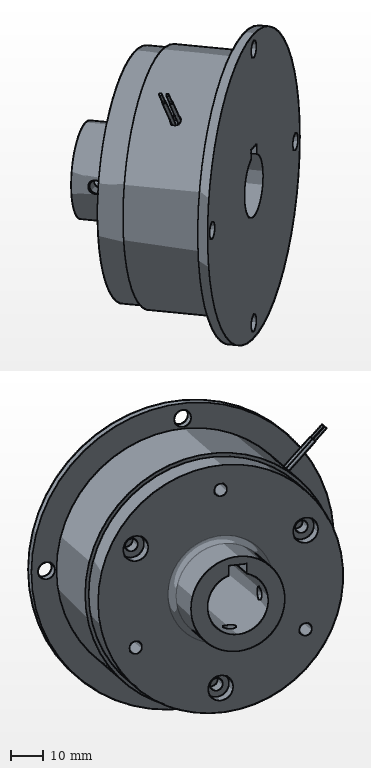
import cadquery as cq
import math

fillet_start_x = 14.1
hub_fillet_radius = 2.0
disc_face_x = fillet_start_x + hub_fillet_radius
disc_thickness = 3.9
body_face_x = 24.8
overall_length = 54.8
flange_thickness = 3.2
flange_face_x = overall_length - flange_thickness

hub_radius = 15.5
disc_radius = 40.5
body_radius = 41.7
flange_radius = 50.0
bore_radius = 10.0

key_width = 6.0
key_top_z = 12.8

flange_hole_count = 4
flange_hole_diameter = 5.5
flange_hole_circle_radius = 45.0

disc_hole_count = 6
disc_hole_diameter = 4.1
disc_hole_circle_radius = 32.4
counterbore_diameter = 8.2
counterbore_depth = disc_thickness
disc_hole_depth = body_face_x - disc_face_x

set_screw_x = 8.0
set_screw_diameter = 4.2
set_screw_mouth_diameter = 4.8
set_screw_mouth_depth = 0.5

lead_angle = 45.0
lead_x = (body_face_x + flange_face_x) / 2
lead_spacing = 2.3
lead_hole_diameter = 3.5
lead_hole_floor_radius = 38.7
lead_embedding = 1.0
sleeve_diameter = 1.2
sleeve_end_radius = 54.1
core_diameter = 0.9
core_end_radius = 59.4


def disc_along_x(start_x, end_x, radius):
    """Cylinder around the X axis between two stations."""
    return cq.Workplane("YZ").workplane(offset=start_x).circle(radius).extrude(end_x - start_x)


def holes_along_x(start_x, depth, diameter, circle_radius, count, start_angle):
    """Ring of equally spaced holes parallel to X."""
    return (
        cq.Workplane("YZ")
        .workplane(offset=start_x)
        .polarArray(circle_radius, start_angle, 360, count)
        .circle(diameter / 2)
        .extrude(depth)
    )


def radial_direction(angle):
    """Unit vector outward from the X axis, the angle measured from -Y toward +Z."""
    return cq.Vector(0, -math.cos(math.radians(angle)), math.sin(math.radians(angle)))


def radial_rod(x, angle, start_radius, end_radius, diameter):
    """Cylinder pointing outward from the X axis."""
    outward = radial_direction(angle)
    start = cq.Vector(x, 0, 0) + outward * start_radius
    rod = cq.Solid.makeCylinder(diameter / 2, end_radius - start_radius, start, outward)
    return cq.Workplane(obj=rod)


def turned_blank():
    """Hub, disc, body and flange as one revolved profile with a fillet at the hub root."""
    fillet_end_radius = hub_radius + hub_fillet_radius
    return (
        cq.Workplane("XY")
        .moveTo(0, 0)
        .lineTo(0, hub_radius)
        .lineTo(fillet_start_x, hub_radius)
        .radiusArc((disc_face_x, fillet_end_radius), -hub_fillet_radius)
        .lineTo(disc_face_x, disc_radius)
        .lineTo(body_face_x, disc_radius)
        .lineTo(body_face_x, body_radius)
        .lineTo(flange_face_x, body_radius)
        .lineTo(flange_face_x, flange_radius)
        .lineTo(overall_length, flange_radius)
        .lineTo(overall_length, 0)
        .close()
        .revolve(360, (0, 0, 0), (1, 0, 0))
    )


def keyed_bore():
    """Through bore together with its keyway."""
    keyway = cq.Workplane("XY").box(
        overall_length, key_width, key_top_z, centered=(False, True, False)
    )
    return disc_along_x(0, overall_length, bore_radius).union(keyway)


def disc_holes():
    """Blind holes in the disc, with counterbores on alternate ones starting at -Z."""
    holes = holes_along_x(
        disc_face_x, disc_hole_depth, disc_hole_diameter, disc_hole_circle_radius, disc_hole_count, -90
    )
    counterbores = holes_along_x(
        disc_face_x,
        counterbore_depth,
        counterbore_diameter,
        disc_hole_circle_radius,
        disc_hole_count // 2,
        -90,
    )
    return holes.union(counterbores)


def flange_holes():
    """Through holes for mounting the flange."""
    return holes_along_x(
        flange_face_x,
        flange_thickness,
        flange_hole_diameter,
        flange_hole_circle_radius,
        flange_hole_count,
        0,
    )


def set_screw_hole(angle):
    """Radial hole from the bore to the hub surface, opening out in a cone at its mouth."""
    hole = radial_rod(set_screw_x, angle, 0, hub_radius, set_screw_diameter)
    outward = radial_direction(angle)
    mouth_start = cq.Vector(set_screw_x, 0, 0) + outward * (hub_radius - set_screw_mouth_depth)
    mouth = cq.Solid.makeCone(
        set_screw_diameter / 2,
        set_screw_mouth_diameter / 2,
        set_screw_mouth_depth,
        mouth_start,
        outward,
    )
    return hole.union(cq.Workplane(obj=mouth))


def lead_wire(x):
    """One wire: an insulating sleeve set into the hole floor and the thinner core it carries."""
    sleeve_start_radius = lead_hole_floor_radius - lead_embedding
    sleeve = radial_rod(x, lead_angle, sleeve_start_radius, sleeve_end_radius, sleeve_diameter)
    core = radial_rod(x, lead_angle, sleeve_start_radius, core_end_radius, core_diameter)
    return sleeve.union(core)


result = turned_blank().cut(keyed_bore()).cut(disc_holes()).cut(flange_holes())

for set_screw_angle in (0, -90):
    result = result.cut(set_screw_hole(set_screw_angle))

result = result.cut(
    radial_rod(lead_x, lead_angle, lead_hole_floor_radius, flange_radius, lead_hole_diameter)
)
for side in (-1, 1):
    result = result.union(lead_wire(lead_x + side * lead_spacing / 2))